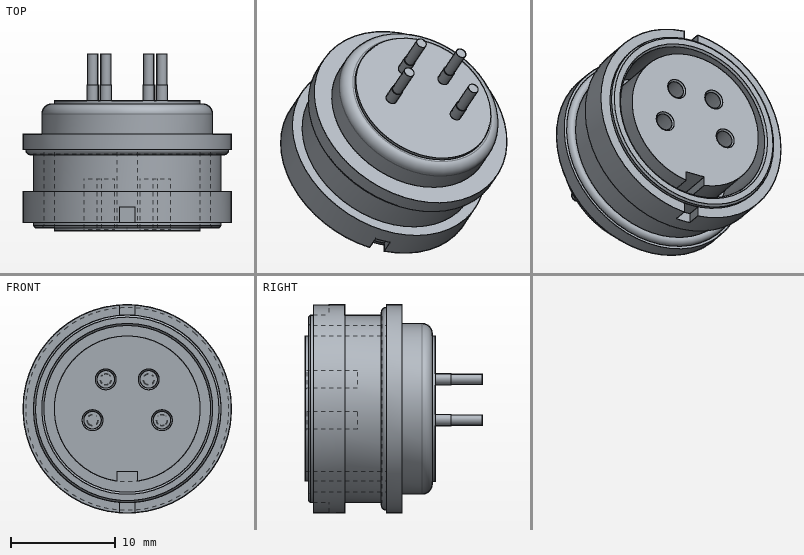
import cadquery as cq
import math

shell_front = 0.3
nut_front = 0.8
nut_rear = 3.8
flange_front = 7.8
flange_rear = 9.3
body_rear = 12.2
insert_rear = 12.5
pin_step = 14.0
pin_end = 17.0

rim_radius = 10.0
shell_radius = 9.0
bore_radius = 8.0
body_radius = 8.2
insert_radius = 7.0

shell_chamfer = 0.2
body_fillet = 1.0
cavity_floor = 9.3

ring_tube_radius = 0.5
ring_center_radius = 9.25

slot_width = 1.5
slot_depth = 1.5
key_width = 2.0
key_bottom = 6.0

contact_circle_radius = 3.5
contact_angles = [54, 126, 198, 342]
socket_radius = 0.85
socket_mouth_radius = 1.0
socket_depth = 5.0
pin_base_diameter = 1.1
pin_tip_diameter = 1.0


def cylinder(radius, start, end, x=0, z=0):
    """Cylinder along Y between two axial positions."""
    return cq.Workplane(cq.Solid.makeCylinder(
        radius, end - start, cq.Vector(x, start, z), cq.Vector(0, 1, 0)))


def block(width, start, end, bottom, top):
    """Box centred on X, spanning the given Y and Z ranges."""
    box = cq.Workplane("XY").box(width, end - start, top - bottom, centered=(True, False, False))
    return box.translate((0, start, bottom))


def make_shell():
    shell = cylinder(shell_radius, shell_front, flange_rear)
    shell = shell.cut(cylinder(bore_radius, shell_front, cavity_floor))
    shell = shell.faces("<Y").chamfer(shell_chamfer)
    rear_body = cylinder(body_radius, flange_front, body_rear).faces(">Y").edges().fillet(body_fillet)
    flange = cylinder(rim_radius, flange_front, flange_rear)
    return shell.union(flange).union(rear_body.cut(cylinder(bore_radius, flange_front, cavity_floor)))


def make_seal_ring():
    return cq.Workplane(cq.Solid.makeTorus(
        ring_center_radius, ring_tube_radius, cq.Vector(0, flange_front, 0), cq.Vector(0, 1, 0)))


def make_nut():
    nut = cylinder(rim_radius, nut_front, nut_rear)
    slot_rear = nut_front + slot_depth
    nut = nut.cut(block(slot_width, nut_front, slot_rear, shell_radius, rim_radius))
    nut = nut.cut(block(slot_width, nut_front, slot_rear, -rim_radius, -shell_radius))
    return nut.cut(cylinder(shell_radius, nut_front, nut_rear))


def make_insert():
    insert = cylinder(insert_radius, 0, insert_rear)
    return insert.cut(block(key_width, 0, cavity_floor, -insert_radius, -key_bottom))


def make_socket(x, z):
    mouth_depth = socket_mouth_radius - socket_radius
    mouth = cq.Workplane(cq.Solid.makeCone(
        socket_mouth_radius, socket_radius, mouth_depth, cq.Vector(x, 0, z), cq.Vector(0, 1, 0)))
    return cylinder(socket_radius, 0, socket_depth, x, z).union(mouth)


def make_pin(x, z):
    base = cylinder(pin_base_diameter / 2, body_rear, pin_step, x, z)
    return base.union(cylinder(pin_tip_diameter / 2, body_rear, pin_end, x, z))


result = make_shell().union(make_seal_ring()).union(make_nut()).union(make_insert())

for angle in contact_angles:
    contact_x = contact_circle_radius * math.cos(math.radians(angle))
    contact_z = contact_circle_radius * math.sin(math.radians(angle))
    result = result.cut(make_socket(contact_x, contact_z))
    result = result.union(make_pin(contact_x, contact_z))